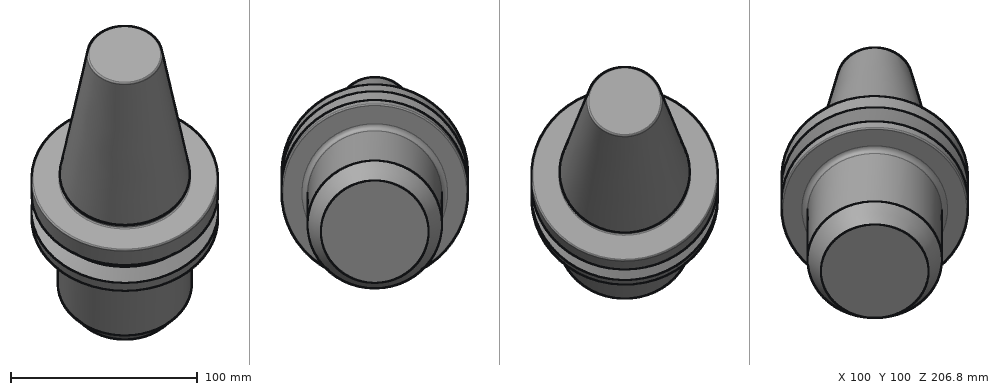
import cadquery as cq
import math


gauge_diameter = 69.85
taper_length = 101.8
taper_ratio = 7 / 24
shank_end_fillet = 1.0

neck_diameter = 69.25
neck_length = 3.0
neck_fillet = 0.7
neck_step_height = 0.75

flange_diameter = 100.0
flange_thickness = 35.0
rim_fillet = 0.8
groove_floor_diameter = 85.0
groove_floor_width = 6.5
groove_center_depth = 20.15
groove_flank_angle = 30.0

nose_diameter = 72.0
nose_reach = 105.0
nose_fillet = 3.0
nose_cone_height = 12.4
nose_cone_angle = 30.0

gauge_radius = gauge_diameter / 2
shank_end_radius = gauge_radius - taper_length * taper_ratio / 2
neck_radius = neck_diameter / 2
flange_radius = flange_diameter / 2
groove_floor_radius = groove_floor_diameter / 2
nose_radius = nose_diameter / 2
nose_end_radius = nose_radius - nose_cone_height * math.tan(math.radians(nose_cone_angle))

flange_top = -neck_length
flange_bottom = flange_top - flange_thickness
groove_center = flange_top - groove_center_depth
nose_end = -nose_reach


def make_shank():
    """Taper with a rounded small end, and the short cone that steps down to the neck."""
    shank = (
        cq.Workplane("XZ")
        .moveTo(0, -neck_step_height)
        .lineTo(neck_radius, -neck_step_height)
        .lineTo(gauge_radius, 0)
        .lineTo(shank_end_radius, taper_length)
        .lineTo(0, taper_length)
        .close()
        .revolve(360, (0, 0, 0), (0, 1, 0))
    )
    return shank.faces(">Z").edges().fillet(shank_end_fillet)


def make_cylinder(radius, bottom, top):
    """Solid cylinder on the Z axis between two heights."""
    return cq.Workplane("XY").workplane(offset=bottom).circle(radius).extrude(top - bottom)


def make_flange():
    """Disc with rounded rims."""
    disc = make_cylinder(flange_radius, flange_bottom, flange_top)
    return disc.edges("%CIRCLE").fillet(rim_fillet)


def make_groove():
    """Ring-shaped cutter for the V-groove with its flat floor."""
    flank_depth = flange_radius - groove_floor_radius
    half_floor = groove_floor_width / 2
    half_mouth = half_floor + flank_depth * math.tan(math.radians(groove_flank_angle))
    return (
        cq.Workplane("XZ")
        .moveTo(groove_floor_radius, groove_center - half_floor)
        .lineTo(flange_radius, groove_center - half_mouth)
        .lineTo(flange_radius, groove_center + half_mouth)
        .lineTo(groove_floor_radius, groove_center + half_floor)
        .close()
        .revolve(360, (0, 0, 0), (0, 1, 0))
    )


def make_root_fillet(radius, face_height, fillet_radius, direction):
    """Disc flaring from a cylinder into a flange face; direction is +1 up, -1 down."""
    tangent_height = face_height + direction * fillet_radius
    arc_offset = fillet_radius * (1 - math.cos(math.radians(45)))
    return (
        cq.Workplane("XZ")
        .moveTo(0, face_height)
        .lineTo(radius + fillet_radius, face_height)
        .threePointArc(
            (radius + arc_offset, face_height + direction * arc_offset),
            (radius, tangent_height),
        )
        .lineTo(0, tangent_height)
        .close()
        .revolve(360, (0, 0, 0), (0, 1, 0))
    )


def make_nose():
    """Cylinder ending in a cone."""
    return (
        cq.Workplane("XZ")
        .moveTo(0, flange_bottom)
        .lineTo(nose_radius, flange_bottom)
        .lineTo(nose_radius, nose_end + nose_cone_height)
        .lineTo(nose_end_radius, nose_end)
        .lineTo(0, nose_end)
        .close()
        .revolve(360, (0, 0, 0), (0, 1, 0))
    )


result = (
    make_flange()
    .cut(make_groove())
    .union(make_cylinder(neck_radius, flange_top, -neck_step_height))
    .union(make_root_fillet(neck_radius, flange_top, neck_fillet, 1))
    .union(make_shank())
    .union(make_nose())
    .union(make_root_fillet(nose_radius, flange_bottom, nose_fillet, -1))
)